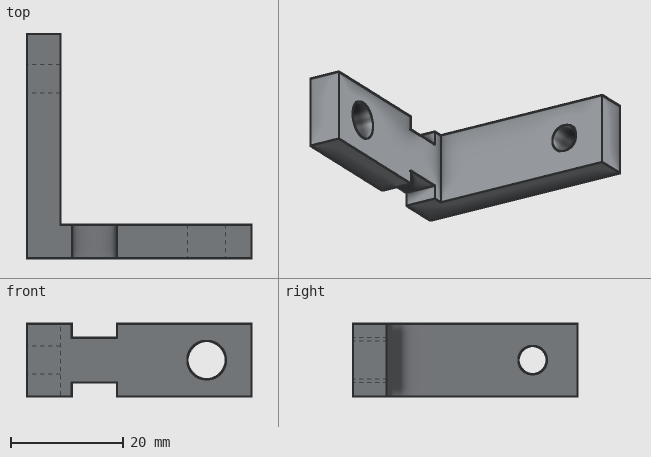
import cadquery as cq

leg_length = 40.0
leg_thickness = 6.0
height = 13.0

neck_start = 8.0
neck_length = 8.0
neck_height = 8.0
notch_depth = (height - neck_height) / 2

hole_end_distance = 8.0
x_leg_hole_diameter = 6.8
y_leg_hole_diameter = 5.0
hole_position = leg_length - hole_end_distance
mid_height = height / 2


def corner_box(length_x, length_y, length_z):
    """Box with its lowest corner at the origin."""
    return cq.Workplane("XY").box(length_x, length_y, length_z, centered=False)


x_leg = corner_box(leg_length, leg_thickness, height)
y_leg = corner_box(leg_thickness, leg_length, height)
result = x_leg.union(y_leg)

notch = corner_box(neck_length, leg_thickness, notch_depth)
for notch_bottom in (0, height - notch_depth):
    result = result.cut(notch.translate((neck_start, 0, notch_bottom)))

x_leg_hole = cq.Solid.makeCylinder(
    x_leg_hole_diameter / 2,
    leg_thickness,
    cq.Vector(hole_position, 0, mid_height),
    cq.Vector(0, 1, 0),
)
y_leg_hole = cq.Solid.makeCylinder(
    y_leg_hole_diameter / 2,
    leg_thickness,
    cq.Vector(0, hole_position, mid_height),
    cq.Vector(1, 0, 0),
)
result = result.cut(cq.Workplane(x_leg_hole)).cut(cq.Workplane(y_leg_hole))